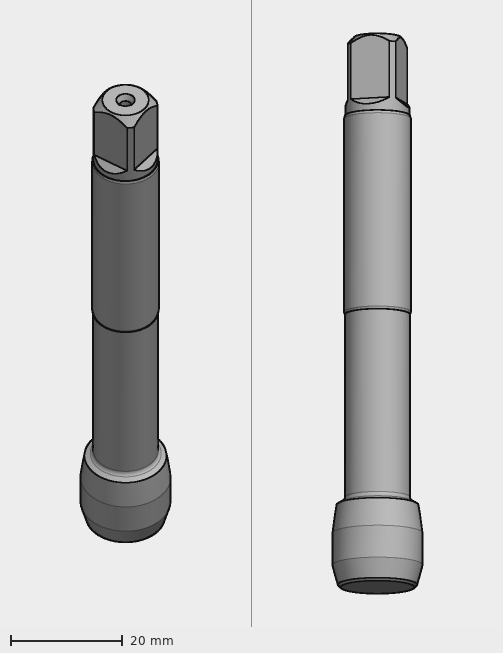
import cadquery as cq
import math

total_length = 100.0
head_diameter = 16.17
shaft_diameter = 11.7
core_diameter = 11.52
sleeve_diameter = 12.0

sleeve_bottom = 49.6
sleeve_top = 85.75
sleeve_edge_height = 0.5
sleeve_edge_depth = (sleeve_diameter - shaft_diameter) / 2

base_radius = 6.6
base_chamfer_height = 0.45
base_chamfer_radius = 7.1
head_cylinder_bottom = 4.05
head_cylinder_top = 9.85
lower_curve_bulge = 0.03
upper_curve_bulge = 0.05
shoulder_radius = 7.35
shoulder_height = 14.95
shoulder_slope = math.radians(30)
neck_fillet = 1.0

square_width = 9.0
flat_bottom = 88.2
tip_radius = 4.15
drive_radius = core_diameter / 2
tip_chamfer = drive_radius - tip_radius

centre_diameter = 2.0
countersink_diameter = 3.3
countersink_angle = 60.0
drill_point_angle = 118.0
centre_depth = 3.0

head_radius = head_diameter / 2
shaft_radius = shaft_diameter / 2
sleeve_radius = sleeve_diameter / 2


def curve_middle(start, end, bulge):
    """Middle of an arc that stands out from the chord between two profile points by the bulge."""
    run = end[0] - start[0]
    rise = end[1] - start[1]
    chord = math.hypot(run, rise)
    middle_radius = (start[0] + end[0]) / 2 + bulge * rise / chord
    middle_z = (start[1] + end[1]) / 2 - bulge * run / chord
    return middle_radius, middle_z


def turned_bar():
    """Head, shaft, core and chamfered tip as one turned shape."""
    lower_start = (base_chamfer_radius, base_chamfer_height)
    lower_end = (head_radius, head_cylinder_bottom)
    upper_start = (head_radius, head_cylinder_top)
    upper_end = (shoulder_radius, shoulder_height)
    neck_radius = shaft_radius + neck_fillet * (1 - math.sin(shoulder_slope))
    neck_bottom = shoulder_height + (shoulder_radius - neck_radius) * math.tan(shoulder_slope)
    neck_start = (neck_radius, neck_bottom)
    neck_end = (shaft_radius, neck_bottom + neck_fillet * math.cos(shoulder_slope))
    neck_sweep = math.pi / 2 - shoulder_slope
    neck_bulge = -neck_fillet * (1 - math.cos(neck_sweep / 2))
    profile = (
        cq.Workplane("XZ")
        .lineTo(base_radius, 0)
        .lineTo(*lower_start)
        .threePointArc(curve_middle(lower_start, lower_end, lower_curve_bulge), lower_end)
        .lineTo(*upper_start)
        .threePointArc(curve_middle(upper_start, upper_end, upper_curve_bulge), upper_end)
        .lineTo(*neck_start)
        .threePointArc(curve_middle(neck_start, neck_end, neck_bulge), neck_end)
        .lineTo(shaft_radius, sleeve_bottom)
        .lineTo(drive_radius, sleeve_bottom)
        .lineTo(drive_radius, total_length - tip_chamfer)
        .lineTo(tip_radius, total_length)
        .lineTo(0, total_length)
        .close()
    )
    return profile.revolve(360, (0, 0, 0), (0, 1, 0))


def flat_cutter():
    """Removes one side of the core, leaving a drive flat with a 45 degree run-out below it."""
    half_width = square_width / 2
    reach = sleeve_diameter
    run_out = reach - half_width
    return (
        cq.Workplane("XZ")
        .moveTo(half_width, flat_bottom)
        .lineTo(reach, flat_bottom - run_out)
        .lineTo(reach, total_length)
        .lineTo(half_width, total_length)
        .close()
        .extrude(reach, both=True)
    )


def centre_hole():
    """Countersunk centre hole with a conical drill point."""
    hole_radius = centre_diameter / 2
    sink_radius = countersink_diameter / 2
    sink_depth = (sink_radius - hole_radius) / math.tan(math.radians(countersink_angle / 2))
    point_depth = hole_radius / math.tan(math.radians(drill_point_angle / 2))
    return (
        cq.Workplane("XZ")
        .moveTo(0, total_length)
        .lineTo(sink_radius, total_length)
        .lineTo(hole_radius, total_length - sink_depth)
        .lineTo(hole_radius, total_length - centre_depth)
        .lineTo(0, total_length - centre_depth - point_depth)
        .close()
        .revolve(360, (0, 0, 0), (0, 1, 0))
    )


def make_bar():
    """Extension bar with a square drive end."""
    bar = turned_bar().cut(centre_hole())
    for side in range(4):
        bar = bar.cut(flat_cutter().rotate((0, 0, 0), (0, 0, 1), side * 90))
    return bar


def make_sleeve():
    """Thin sleeve around the core, seated on the shaft shoulder, with both outer edges bevelled."""
    edge_radius = sleeve_radius - sleeve_edge_depth
    return (
        cq.Workplane("XZ")
        .moveTo(drive_radius, sleeve_bottom)
        .lineTo(edge_radius, sleeve_bottom)
        .lineTo(sleeve_radius, sleeve_bottom + sleeve_edge_height)
        .lineTo(sleeve_radius, sleeve_top - sleeve_edge_height)
        .lineTo(edge_radius, sleeve_top)
        .lineTo(drive_radius, sleeve_top)
        .close()
        .revolve(360, (0, 0, 0), (0, 1, 0))
    )


bar = make_bar()
sleeve = make_sleeve()

result = cq.Compound.makeCompound([bar.val(), sleeve.val()])